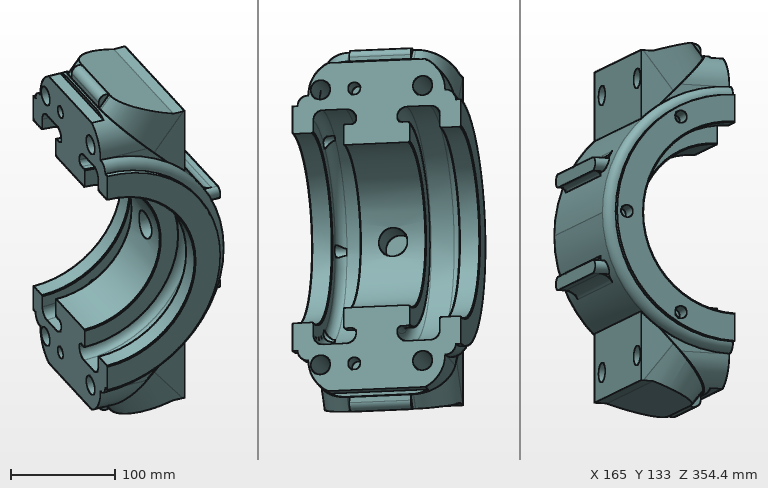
import math

import cadquery as cq

FLANGE_HALF_WIDTH = 82.5
FLANGE_RADIUS = 120.0
RING_RADIUS = 130.0
RING_ROUND = RING_RADIUS - FLANGE_RADIUS
RING_HALF_WIDTH = 77.5

BEARING_BORE_RADIUS = 80.0
BEARING_HALF_WIDTH = 32.3
SEAL_BORE_RADIUS = 93.0
EDGE_CHAMFER = 1.0
CHAMBER_RADIUS = 115.0
CHAMBER_HALF_SPAN = 62.0
CHAMBER_ROUND = 9.5
UNDERCUT_INNER_RADIUS = 100.0
UNDERCUT_TIP_X = 20.0
UNDERCUT_OUTER_ROUND = 10.0
OIL_HOLE_DIAMETER = 28.0
OIL_HOLE_FLOOR_Y = 115.0

BLOCK_HALF_WIDTH = 67.0
BLOCK_TOP_Z = 164.6
BLOCK_CORNER_RADIUS = 34.5
JOINT_PAD_TOP_Z = 161.0
JOINT_PAD_DEPTH = 12.5

FOOT_BASE_SUM = 180.0
FOOT_BACK_Y = 90.0
FOOT_TOP_Z = 161.0
FOOT_SLOPE_START_Y = 78.0
FOOT_SLOPE_ANGLE = 16.7
FOOT_DIRECTION_ANGLE = 51.0
FOOT_HALF_WIDTH = 66.4
FOOT_TIP = 90.0
FOOT_TIP_HALF_WIDTH = 32.5
FOOT_CORNER_LENGTH = 57.0

BAR_RADIUS = 7.5
BAR_HALF_LENGTH = 30.0
BAR_CENTRE_Y = 23.4
BAR_CENTRE_Z = 169.7

RAIL_Z = 50.0
RAIL_HEIGHT = 13.0
RAIL_HALF_LENGTH = 56.0
RAIL_BACK_Y = 133.0
RAIL_OUTER_FILLET = 15.0
RAIL_INNER_FILLET = 6.2

JOINT_HOLE_Z = 135.0
BOLT_HOLE_DIAMETER = 19.0
BOLT_HOLE_XS = (-55.0, 45.0)
DOWEL_HOLE_DIAMETER = 12.0
DOWEL_HOLE_X = -22.0
DOWEL_HOLE_DEPTH = 20.0
FLANGE_HOLE_DIAMETER = 12.0
FLANGE_HOLE_CIRCLE_RADIUS = 110.0
FLANGE_HOLE_DEPTH = 30.0
FLANGE_HOLE_ANGLES = (-60.0, 0.0, 60.0)

OVERSIZE = 400.0
DIAGONAL = math.sqrt(0.5)


def spin_both_sides(half_profile):
    """Revolve a profile (x, radius) about X and add its mirror image in X."""
    half = half_profile.revolve(360, (0, 0, 0), (1, 0, 0))
    return half.union(half.mirror("YZ"))


def on_both_ends(solid):
    """Add the mirror image at the -Z end."""
    return solid.union(solid.mirror("XY"))


def slab_along_x(profile, half_length):
    """Extrude a (y, z) profile symmetrically along X."""
    return profile.extrude(half_length, both=True)


def make_ring():
    round_start = RING_HALF_WIDTH - RING_ROUND
    round_mid = RING_ROUND * DIAGONAL
    profile = (
        cq.Workplane("XY")
        .lineTo(0, RING_RADIUS)
        .lineTo(round_start, RING_RADIUS)
        .threePointArc(
            (round_start + round_mid, FLANGE_RADIUS + round_mid),
            (RING_HALF_WIDTH, FLANGE_RADIUS),
        )
        .lineTo(FLANGE_HALF_WIDTH, FLANGE_RADIUS)
        .lineTo(FLANGE_HALF_WIDTH, 0)
        .close()
    )
    return spin_both_sides(profile)


def make_interior():
    """Bearing bore, seal bores and the undercut oil chambers, as one tool."""
    inner_round = CHAMBER_RADIUS - UNDERCUT_INNER_RADIUS - UNDERCUT_OUTER_ROUND
    inner_x = UNDERCUT_TIP_X + inner_round
    outer_x = UNDERCUT_TIP_X + UNDERCUT_OUTER_ROUND
    tip_radius = UNDERCUT_INNER_RADIUS + inner_round
    inner_mid = inner_round * DIAGONAL
    outer_mid = UNDERCUT_OUTER_ROUND * DIAGONAL
    corner_x = CHAMBER_HALF_SPAN - CHAMBER_ROUND
    corner_radius = CHAMBER_RADIUS - CHAMBER_ROUND
    corner_mid = CHAMBER_ROUND * DIAGONAL
    profile = (
        cq.Workplane("XY")
        .lineTo(0, BEARING_BORE_RADIUS)
        .lineTo(BEARING_HALF_WIDTH - EDGE_CHAMFER, BEARING_BORE_RADIUS)
        .lineTo(BEARING_HALF_WIDTH, BEARING_BORE_RADIUS + EDGE_CHAMFER)
        .lineTo(BEARING_HALF_WIDTH, UNDERCUT_INNER_RADIUS - EDGE_CHAMFER)
        .lineTo(BEARING_HALF_WIDTH - EDGE_CHAMFER, UNDERCUT_INNER_RADIUS)
        .lineTo(inner_x, UNDERCUT_INNER_RADIUS)
        .threePointArc((inner_x - inner_mid, tip_radius - inner_mid), (UNDERCUT_TIP_X, tip_radius))
        .threePointArc((outer_x - outer_mid, tip_radius + outer_mid), (outer_x, CHAMBER_RADIUS))
        .lineTo(corner_x, CHAMBER_RADIUS)
        .threePointArc(
            (corner_x + corner_mid, corner_radius + corner_mid),
            (CHAMBER_HALF_SPAN, corner_radius),
        )
        .lineTo(CHAMBER_HALF_SPAN, SEAL_BORE_RADIUS + EDGE_CHAMFER)
        .lineTo(CHAMBER_HALF_SPAN + EDGE_CHAMFER, SEAL_BORE_RADIUS)
        .lineTo(FLANGE_HALF_WIDTH - EDGE_CHAMFER, SEAL_BORE_RADIUS)
        .lineTo(FLANGE_HALF_WIDTH, SEAL_BORE_RADIUS + EDGE_CHAMFER)
        .lineTo(FLANGE_HALF_WIDTH, 0)
        .close()
    )
    return spin_both_sides(profile)


def make_joint_block():
    """Round-cornered block behind the joint face, ended by the 45 degree plane."""
    block = (
        cq.Workplane("XZ")
        .rect(2 * BLOCK_HALF_WIDTH, 2 * BLOCK_TOP_Z)
        .extrude(-FOOT_BASE_SUM)
        .edges("|Y")
        .fillet(BLOCK_CORNER_RADIUS)
    )
    keep = cq.Workplane("YZ").polyline([
        (0, 0),
        (0, FOOT_BASE_SUM),
        (FOOT_BACK_Y, FOOT_BASE_SUM - FOOT_BACK_Y),
        (FOOT_BACK_Y, 0),
    ]).close()
    pad_relief = (
        cq.Workplane("XY")
        .box(OVERSIZE, JOINT_PAD_DEPTH, OVERSIZE, centered=(True, False, False))
        .translate((0, 0, JOINT_PAD_TOP_Z))
    )
    return block.intersect(slab_along_x(keep, OVERSIZE)).cut(pad_relief)


def make_foot():
    """Slanted foot: a prism with elliptical tip corners, trimmed to its side outline."""
    direction = math.radians(FOOT_DIRECTION_ANGLE)
    prism_plane = cq.Plane(
        origin=(0, 0, 0),
        xDir=(-1, 0, 0),
        normal=(0, math.cos(direction), math.sin(direction)),
    )
    corner_width = FOOT_HALF_WIDTH - FOOT_TIP_HALF_WIDTH
    prism = (
        cq.Workplane(prism_plane)
        .moveTo(-FOOT_HALF_WIDTH, -FOOT_BACK_Y)
        .lineTo(FOOT_HALF_WIDTH, -FOOT_BACK_Y)
        .lineTo(FOOT_HALF_WIDTH, FOOT_TIP - FOOT_CORNER_LENGTH)
        .ellipseArc(corner_width, FOOT_CORNER_LENGTH, 0, 90, sense=1)
        .lineTo(-FOOT_TIP_HALF_WIDTH, FOOT_TIP)
        .ellipseArc(corner_width, FOOT_CORNER_LENGTH, 90, 180, sense=1)
        .close()
        .extrude(OVERSIZE)
    )

    slope_rise = FOOT_SLOPE_START_Y * math.tan(math.radians(FOOT_SLOPE_ANGLE))
    outline = cq.Workplane("YZ").polyline([
        (FOOT_BACK_Y, FOOT_BASE_SUM - FOOT_BACK_Y),
        (FOOT_BACK_Y, FOOT_TOP_Z),
        (FOOT_SLOPE_START_Y, FOOT_TOP_Z),
        (0, FOOT_TOP_Z + slope_rise),
        (0, FOOT_BASE_SUM),
    ]).close()
    return prism.intersect(slab_along_x(outline, OVERSIZE))


def make_tip_bar():
    nose = cq.Workplane("YZ").center(BAR_CENTRE_Y, BAR_CENTRE_Z).circle(BAR_RADIUS)
    root_height = BAR_CENTRE_Z - JOINT_PAD_TOP_Z
    root = (
        cq.Workplane("YZ")
        .center(BAR_CENTRE_Y, BAR_CENTRE_Z - root_height / 2)
        .rect(2 * BAR_RADIUS, root_height)
    )
    return slab_along_x(nose, BAR_HALF_LENGTH).union(slab_along_x(root, BAR_HALF_LENGTH))


def make_rail_fillet(side, radius):
    """Concave fillet between the ring and one long face of a rail.

    side is +1 for the face away from the part's middle and -1 for the other.
    """
    face_z = RAIL_Z + side * RAIL_HEIGHT / 2
    centre_z = face_z + side * radius
    centre_distance = RING_RADIUS + radius
    centre_y = math.sqrt(centre_distance**2 - centre_z**2)
    to_ring = RING_RADIUS / centre_distance
    ring_tangent = (centre_y * to_ring, centre_z * to_ring)
    wedge = (
        cq.Workplane("YZ")
        .moveTo(centre_y, face_z)
        .lineTo(ring_tangent[0], face_z)
        .lineTo(*ring_tangent)
        .close()
    )
    hollow = cq.Workplane("YZ").center(centre_y, centre_z).circle(radius)
    straight_half_length = RAIL_HALF_LENGTH - RAIL_HEIGHT / 2
    return slab_along_x(wedge, straight_half_length).cut(slab_along_x(hollow, OVERSIZE))


def make_rail():
    rail = (
        cq.Workplane("XZ", origin=(0, RAIL_BACK_Y, RAIL_Z))
        .slot2D(2 * RAIL_HALF_LENGTH, RAIL_HEIGHT)
        .extrude(RAIL_BACK_Y - CHAMBER_RADIUS)
    )
    outer_fillet = make_rail_fillet(1, RAIL_OUTER_FILLET)
    inner_fillet = make_rail_fillet(-1, RAIL_INNER_FILLET)
    return rail.union(outer_fillet).union(inner_fillet)


def holes_along_y(points, diameter, depth):
    """Cylinders drilled from the joint face Y = 0 toward +Y."""
    return cq.Workplane("XZ").pushPoints(points).circle(diameter / 2).extrude(-depth)


def make_holes():
    ends = (-JOINT_HOLE_Z, JOINT_HOLE_Z)
    bolt_points = [(x, z) for x in BOLT_HOLE_XS for z in ends]
    dowel_points = [(DOWEL_HOLE_X, z) for z in ends]
    flange_points = [
        (
            FLANGE_HOLE_CIRCLE_RADIUS * math.cos(math.radians(angle)),
            FLANGE_HOLE_CIRCLE_RADIUS * math.sin(math.radians(angle)),
        )
        for angle in FLANGE_HOLE_ANGLES
    ]
    flange_holes = (
        cq.Workplane("YZ", origin=(-FLANGE_HALF_WIDTH, 0, 0))
        .pushPoints(flange_points)
        .circle(FLANGE_HOLE_DIAMETER / 2)
        .extrude(FLANGE_HOLE_DEPTH)
    )
    return [
        holes_along_y(bolt_points, BOLT_HOLE_DIAMETER, OVERSIZE),
        holes_along_y(dowel_points, DOWEL_HOLE_DIAMETER, DOWEL_HOLE_DEPTH),
        holes_along_y([(0, 0)], OIL_HOLE_DIAMETER, OIL_HOLE_FLOOR_Y),
        flange_holes,
    ]


def make_part():
    part = make_ring()
    for feature in (make_joint_block(), make_foot(), make_tip_bar(), make_rail()):
        part = part.union(on_both_ends(feature))
    part = part.cut(make_interior())
    for holes in make_holes():
        part = part.cut(holes)
    joint_side = cq.Workplane("XY").box(OVERSIZE, OVERSIZE, OVERSIZE, centered=(True, False, True))
    return part.intersect(joint_side)


result = make_part()